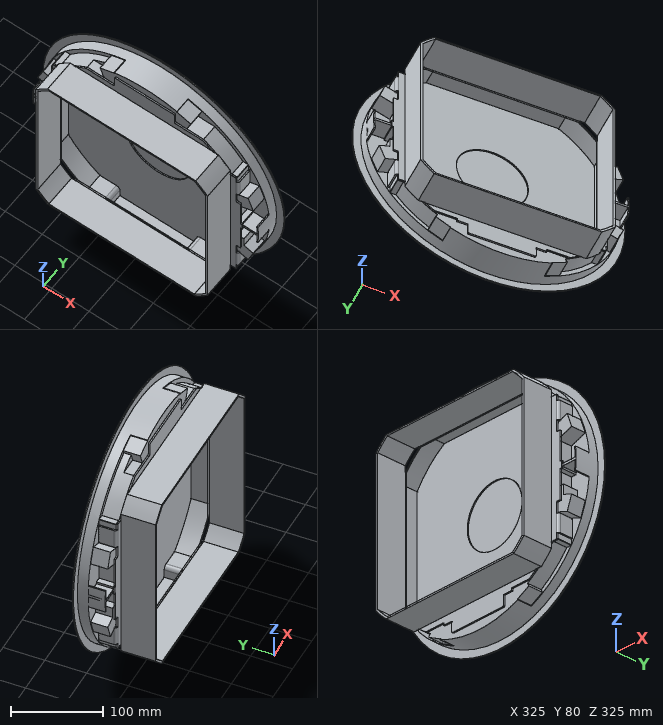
import cadquery as cq
import math


trim_depth = 3.2
disc_depth = 11.0
floor_depth = 12.7
shelf_depth = 16.0
left_pocket_depth = 24.7
recess_depth = 32.5
housing_depth = 36.5
strip_thickness = 2.0
strip_depth = housing_depth + strip_thickness
total_depth = 80.0

trim_radius = 162.5
bevel_width = 5.0
bevel_depth = 1.5
disc_radius = 43.0

skirt_radius = 152.5
skirt_inner_radius = 150.8
notch_radius = 147.0
cavity_radius = 145.0
cavity_half_width = 121.5
side_wall_x = 123.8
side_wall_half_z = 89.5
pilaster_x = 130.5
pilaster_half_z = 4.2
rib_half_z = 1.5
side_skirt_half_z = 15.0
bump_x = 133.0
bump_top_z = -24.7
bump_bottom_z = -43.5
lug_reach = 151.0
lug_root = 123.5
lug_width = 20.0
side_lug_angle = 20.0
top_lug_angle = 20.0
bottom_lug_angle = 27.4
pocket_wall_z = 124.0
recess_half_x = 52.0
recess_end_z = 137.0
recess_rounding = 5.0

tube_half_x = 116.0
tube_half_z = 115.0
tube_inner_half_x = 113.0
tube_inner_half_z = 112.8
tube_corner_radius = skirt_radius
tube_inner_corner_radius = 149.5

side_strip_half_z = 90.5
side_tab_x = 129.5
side_tab_half_z = 43.5
tongue_x = 131.5
tongue_half_z = 5.0
top_strip_z = pocket_wall_z
bottom_strip_z = 122.5
end_tab_half_x = 40.5
end_tab_z = 140.5
bottom_step_half_x = 53.3
bottom_step_z = 125.8
tab_rounding = 1.5
leg_low_z = 58.2
leg_high_z = 82.5
leg_start_depth = 17.0
bend_radius = 3.0

clear_reach = trim_radius
selection_margin = 0.3


def at_depth(depth):
    return cq.Workplane("XZ", origin=(0, -depth, 0))


def disc(radius, start, end):
    return at_depth(start).circle(radius).extrude(end - start)


def block(x_low, x_high, z_low, z_high, start, end):
    size_x = x_high - x_low
    size_z = z_high - z_low
    middle = ((x_low + x_high) / 2, (z_low + z_high) / 2)
    return at_depth(start).center(*middle).rect(size_x, size_z).extrude(end - start)


def centred_block(half_x, half_z, start, end):
    return block(-half_x, half_x, -half_z, half_z, start, end)


def turned_block(inner, outer, low, high, angle, start, end):
    """Block whose length points outward from the axis at an angle from +X towards +Z."""
    return block(inner, outer, low, high, start, end).rotate((0, 0, 0), (0, 1, 0), -angle)


def mirrored_pair(shape):
    return shape.union(shape.mirror("YZ"))


def clipped_square(half_x, half_z, radius, start, end):
    return disc(radius, start, end).intersect(centred_block(half_x, half_z, start, end))


def make_trim():
    profile = [
        (0, 0),
        (trim_radius - bevel_width, 0),
        (trim_radius, -bevel_depth),
        (trim_radius, -trim_depth),
        (0, -trim_depth),
    ]
    return cq.Workplane("XY").polyline(profile).close().revolve(360, (0, 0), (0, 1))


def floor_recess(end):
    """Recess below the cavity; both corners of its mouth are rounded outward."""
    mouth_z = -cavity_half_width
    outline = (
        at_depth(trim_depth)
        .moveTo(-recess_half_x - recess_rounding, mouth_z)
        .radiusArc((-recess_half_x, mouth_z - recess_rounding), recess_rounding)
        .lineTo(-recess_half_x, -recess_end_z)
        .lineTo(recess_half_x, -recess_end_z)
        .lineTo(recess_half_x, mouth_z - recess_rounding)
        .radiusArc((recess_half_x + recess_rounding, mouth_z), recess_rounding)
        .close()
    )
    return outline.extrude(end - trim_depth)


def cavity(end):
    return clipped_square(cavity_half_width, cavity_half_width, cavity_radius, trim_depth, end)


def end_sector(direction, lug_angle):
    """Full-radius sector between the two lugs at the top (direction 1) or bottom (-1)."""
    lug_half_angle = math.degrees(math.asin(lug_width / 2 / lug_reach))
    slope = math.tan(math.radians(lug_angle - lug_half_angle))
    edge_z = direction * clear_reach
    corners = [(0, 0), (clear_reach * slope, edge_z), (-clear_reach * slope, edge_z)]
    wedge = at_depth(shelf_depth).polyline(corners).close().extrude(housing_depth - shelf_depth)
    return wedge.intersect(disc(skirt_radius, shelf_depth, housing_depth))


def lugs():
    """Four lugs on the right, then mirrored to the left."""
    half_width = lug_width / 2
    lug_set = cq.Workplane("XZ")
    for angle in [side_lug_angle, -side_lug_angle, 90 - top_lug_angle, bottom_lug_angle - 90]:
        lug_set = lug_set.add(
            turned_block(
                lug_root, lug_reach, -half_width, half_width, angle, shelf_depth, housing_depth
            )
        )
    return mirrored_pair(lug_set.combine())


def top_left_pocket(start):
    """Pocket beside the top left lug, bounded below by the top wall."""
    span = (start, housing_depth)
    lug_side = lug_width / 2
    beside_lug = turned_block(
        lug_root, clear_reach, lug_side, clear_reach, 90 + top_lug_angle, *span
    )
    return beside_lug.intersect(block(-clear_reach, 0, pocket_wall_z, clear_reach, *span))


def make_housing():
    layer = (shelf_depth, housing_depth)
    side_skirt = disc(skirt_radius, *layer).cut(disc(skirt_inner_radius, *layer))
    bump = block(cavity_half_width, bump_x, bump_bottom_z, bump_top_z, *layer)

    walls = clipped_square(side_wall_x, clear_reach, notch_radius, *layer)
    walls = walls.union(centred_block(side_wall_x, side_wall_half_z, *layer))
    walls = walls.union(centred_block(pilaster_x, pilaster_half_z, *layer))
    walls = walls.union(centred_block(skirt_inner_radius, rib_half_z, *layer))
    walls = walls.union(side_skirt.intersect(centred_block(clear_reach, side_skirt_half_z, *layer)))
    walls = walls.union(mirrored_pair(bump))
    walls = walls.union(end_sector(1, top_lug_angle))
    walls = walls.union(end_sector(-1, bottom_lug_angle))
    walls = walls.union(lugs())
    walls = walls.cut(top_left_pocket(left_pocket_depth))
    walls = walls.cut(top_left_pocket(shelf_depth).mirror("YZ"))

    notches = disc(clear_reach, *layer).cut(walls)
    body = disc(skirt_radius, trim_depth, housing_depth).cut(notches)
    return body.cut(cavity(housing_depth)).cut(floor_recess(recess_depth))


def make_floor_panel():
    panel = cavity(floor_depth).union(floor_recess(floor_depth))
    return panel.cut(disc(disc_radius, trim_depth, floor_depth))


def make_centre_disc():
    return disc(disc_radius, trim_depth, disc_depth)


def make_tube():
    span = (strip_depth, total_depth)
    outside = clipped_square(tube_half_x, tube_half_z, tube_corner_radius, *span)
    return outside.cut(
        clipped_square(tube_inner_half_x, tube_inner_half_z, tube_inner_corner_radius, *span)
    )


def spring_leg():
    """Leg bent back from the edge of the right-hand strip."""
    bend_x = side_wall_x
    overlap_x = bend_x - strip_thickness
    inner_radius = bend_radius - strip_thickness
    bend_depth = strip_depth - bend_radius
    return (
        cq.Workplane("XY", origin=(0, 0, leg_low_z))
        .moveTo(overlap_x, -strip_depth)
        .lineTo(bend_x, -strip_depth)
        .radiusArc((bend_x + bend_radius, -bend_depth), -bend_radius)
        .lineTo(bend_x + bend_radius, -leg_start_depth)
        .lineTo(bend_x + inner_radius, -leg_start_depth)
        .lineTo(bend_x + inner_radius, -bend_depth)
        .radiusArc((bend_x, -housing_depth), inner_radius)
        .lineTo(overlap_x, -housing_depth)
        .close()
        .extrude(leg_high_z - leg_low_z)
    )


def make_side_strip():
    """Right-hand strip with its two legs."""
    layer = (housing_depth, strip_depth)
    tab = block(tube_inner_half_x, side_tab_x, -side_tab_half_z, side_tab_half_z, *layer)
    tongue = block(tube_inner_half_x, tongue_x, -tongue_half_z, tongue_half_z, *layer)
    strip = block(tube_inner_half_x, side_wall_x, -side_strip_half_z, side_strip_half_z, *layer)
    strip = strip.union(tab)
    inner_corners = cq.selectors.BoxSelector(
        (side_wall_x - selection_margin, -strip_depth, -side_tab_half_z - selection_margin),
        (side_wall_x + selection_margin, -housing_depth, side_tab_half_z + selection_margin),
    )
    strip = strip.edges("|Y").edges(inner_corners).fillet(tab_rounding).union(tongue)
    leg = spring_leg()
    return strip.union(leg).union(leg.mirror("XY"))


def make_end_strip(outer_z):
    """Strip above the tube, with a rounded tab and ends that follow the notch radius."""
    layer = (housing_depth, strip_depth)
    strip = block(-clear_reach, clear_reach, tube_inner_half_z, outer_z, *layer)
    strip = strip.intersect(disc(notch_radius, *layer))
    tab = block(-end_tab_half_x, end_tab_half_x, tube_inner_half_z, end_tab_z, *layer)
    tab_corners = cq.selectors.BoxSelector(
        (-end_tab_half_x - selection_margin, -strip_depth, outer_z - selection_margin),
        (end_tab_half_x + selection_margin, -housing_depth, end_tab_z + selection_margin),
    )
    return strip.union(tab).edges("|Y").edges(tab_corners).fillet(tab_rounding)


def make_bottom_strip():
    step = block(
        -bottom_step_half_x,
        bottom_step_half_x,
        -bottom_step_z,
        -tube_inner_half_z,
        housing_depth,
        strip_depth,
    )
    return make_end_strip(bottom_strip_z).mirror("XY").union(step)


trim = make_trim()
housing = make_housing()
floor_panel = make_floor_panel()
centre_disc = make_centre_disc()
tube = make_tube()
right_strip = make_side_strip()
left_strip = right_strip.mirror("YZ")
top_strip = make_end_strip(top_strip_z)
bottom_strip = make_bottom_strip()

bodies = [
    trim, housing, floor_panel, centre_disc, tube, right_strip, left_strip, top_strip, bottom_strip
]
result = cq.Compound.makeCompound([body.solids().val() for body in bodies])